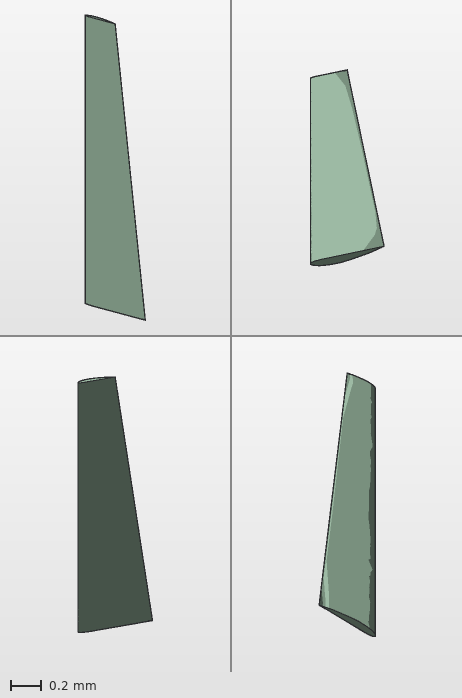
import cadquery as cq

SPAN = 2.0
ROOT_CHORD = 0.5
TIP_CHORD = ROOT_CHORD / 2

TRAILING_EDGE = (1.0, 0.0)
UPPER_SIDE = [
    (0.80, 0.047),
    (0.60, 0.075),
    (0.36, 0.092),
    (0.20, 0.081),
    (0.10, 0.061),
    (0.04, 0.037),
    (0.01, 0.016),
]
NOSE = (0.0, 0.0)
LOWER_SIDE = [
    (0.01, -0.012),
    (0.04, -0.023),
    (0.13, -0.030),
    (0.30, -0.025),
    (0.65, -0.013),
]
OUTLINE = [TRAILING_EDGE] + UPPER_SIDE + [NOSE] + LOWER_SIDE + [TRAILING_EDGE]


def section(height, chord):
    """Closed wing section of the given chord at the given height, sharp only at the trailing edge."""
    points = [cq.Vector(x * chord, y * chord, height) for x, y in OUTLINE]
    return cq.Wire.assembleEdges([cq.Edge.makeSpline(points)])


root = section(0.0, ROOT_CHORD)
tip = section(SPAN, TIP_CHORD)
wing = cq.Solid.makeLoft([root, tip], True)
result = cq.Workplane(obj=wing)